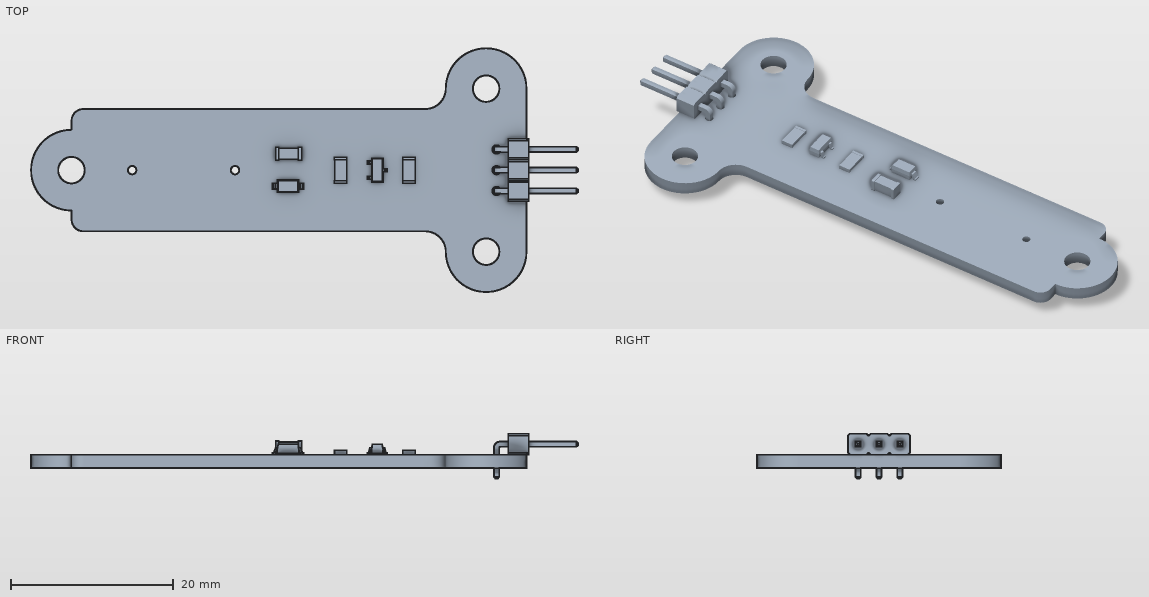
import cadquery as cq


board_thickness = 1.7
lug_radius = 5.0
lug_spacing_x = 51.0
lug_offset_y = 10.0
strip_width = 15.1
shoulder_radius = 1.5
mount_hole_diameter = 3.2
small_hole_diameter = 1.0
probe_hole_places = (7.5, 20.1)
half_strip = strip_width / 2
neck_radius = lug_offset_y - half_strip
neck_x = lug_spacing_x - lug_radius - neck_radius

pin_pitch = 2.55
pin_count = 3
pin_thickness = 0.7
pin_tail_x = 52.3
pin_tail_depth = 1.3
overall_length = 67.3
pin_end_x = overall_length - lug_radius
pin_tip_chamfer = 0.2
bend_outer_radius = 0.8
bend_inner_radius = bend_outer_radius - pin_thickness
header_center_x = 55.0
header_size = 2.55
header_chamfer = 0.235
pin_axis_z = header_size / 2
pin_places_y = [(index - (pin_count - 1) / 2) * pin_pitch for index in range(pin_count)]

chip_length = 3.2
resistor_width = 1.55
resistor_height = 0.55
resistor_terminal_length = 0.35
resistor_step = 0.035
resistor_rounding = 0.035
resistor_places = ((33.1, 0), (41.5, 0))
capacitor_width = 1.6
capacitor_height = 1.7
capacitor_terminal_length = 0.4
capacitor_step = 0.15
capacitor_rounding = 0.2
capacitor_place = (26.7, 2.0)

package_height = 1.3
parting_height = 0.75
package_clearance = 0.15
package_taper = 0.1
lead_thickness = 0.2
lead_foot = 0.35

diode_place = (26.65, -1.95)
diode_length = 2.6
diode_width = 1.55
diode_span = 3.85
diode_lead_width = 0.75

transistor_place = (37.6, 0)
transistor_length = 2.95
transistor_width = 1.4
transistor_span = 2.4
transistor_lead_width = 0.4
transistor_lead_spacing = 1.9


def block(size_x, size_y, size_z):
    """Box centred on the Z axis and standing on Z = 0."""
    return cq.Workplane("XY").box(size_x, size_y, size_z, centered=(True, True, False))


def disc(radius, x, y):
    """Round disc as thick as the board, for a lug or a through hole."""
    return cq.Workplane("XY").center(x, y).circle(radius).extrude(-board_thickness)


def make_board():
    neck_end_x = neck_x + neck_radius
    edge_x = lug_spacing_x + lug_radius
    outline = (
        cq.Workplane("XY")
        .moveTo(0, -half_strip)
        .lineTo(neck_x, -half_strip)
        .radiusArc((neck_end_x, -lug_offset_y), neck_radius)
        .lineTo(edge_x, -lug_offset_y)
        .lineTo(edge_x, lug_offset_y)
        .lineTo(neck_end_x, lug_offset_y)
        .radiusArc((neck_x, half_strip), neck_radius)
        .lineTo(0, half_strip)
        .close()
        .extrude(-board_thickness)
    )
    board = outline.edges("|Z and <X").fillet(shoulder_radius)

    mount_places = [(0, 0)] + [(lug_spacing_x, side * lug_offset_y) for side in (-1, 1)]
    for x, y in mount_places:
        board = board.union(disc(lug_radius, x, y))

    small_places = [(x, 0) for x in probe_hole_places] + [(pin_tail_x, y) for y in pin_places_y]
    for x, y in mount_places:
        board = board.cut(disc(mount_hole_diameter / 2, x, y))
    for x, y in small_places:
        board = board.cut(disc(small_hole_diameter / 2, x, y))
    return board


def make_pin():
    """Square pin in the XZ plane: a tail through the board, a bend and a long straight end."""
    outer_x = pin_tail_x - pin_thickness / 2
    inner_x = pin_tail_x + pin_thickness / 2
    top_z = pin_axis_z + pin_thickness / 2
    under_z = pin_axis_z - pin_thickness / 2
    pin = (
        cq.Workplane("XZ")
        .moveTo(outer_x, -board_thickness - pin_tail_depth)
        .lineTo(outer_x, top_z - bend_outer_radius)
        .radiusArc((outer_x + bend_outer_radius, top_z), bend_outer_radius)
        .lineTo(pin_end_x, top_z)
        .lineTo(pin_end_x, under_z)
        .lineTo(inner_x + bend_inner_radius, under_z)
        .radiusArc((inner_x, under_z - bend_inner_radius), -bend_inner_radius)
        .lineTo(inner_x, -board_thickness - pin_tail_depth)
        .close()
        .extrude(pin_thickness / 2, both=True)
    )
    return pin.faces("<Z or >X").chamfer(pin_tip_chamfer)


def make_header():
    """Row of chamfered housing segments with their pins, as one body."""
    segment = (
        block(header_size, pin_pitch, header_size)
        .edges("|X")
        .chamfer(header_chamfer)
        .translate((header_center_x, 0, 0))
        .union(make_pin())
    )
    header = segment.translate((0, pin_places_y[0], 0))
    for y in pin_places_y[1:]:
        header = header.union(segment.translate((0, y, 0)))
    return header


def make_chip(width, height, terminal_length, terminal_step, terminal_rounding):
    """Chip along X: a core with a slightly larger, rounded terminal around each end."""
    chip = block(
        chip_length - 2 * terminal_length,
        width - 2 * terminal_step,
        height - 2 * terminal_step,
    ).translate((0, 0, terminal_step))
    terminal_x = (chip_length - terminal_length) / 2
    terminal = block(terminal_length, width, height).edges("|X").fillet(terminal_rounding)
    for side in (-1, 1):
        chip = chip.union(terminal.translate((side * terminal_x, 0, 0)))
    return chip


def make_package_body(size_x, size_y):
    """Body with upright sides up to the parting line and drafted sides above it."""
    lower = (
        cq.Workplane("XY", origin=(0, 0, package_clearance))
        .rect(size_x, size_y)
        .extrude(parting_height - package_clearance)
    )
    upper = (
        cq.Workplane("XY", origin=(0, 0, parting_height))
        .rect(size_x, size_y)
        .workplane(offset=package_height - parting_height)
        .rect(size_x - 2 * package_taper, size_y - 2 * package_taper)
        .loft(ruled=True)
    )
    return lower.union(upper)


def make_lead(root_x, tip_x, width):
    """Lead along +X that leaves at the parting line, slopes down and ends in a flat foot."""
    half_thickness = lead_thickness / 2
    return (
        cq.Workplane("XZ")
        .moveTo(0, parting_height + half_thickness)
        .lineTo(root_x + lead_thickness, parting_height + half_thickness)
        .lineTo(tip_x - lead_foot + lead_thickness, lead_thickness)
        .lineTo(tip_x, lead_thickness)
        .lineTo(tip_x, 0)
        .lineTo(tip_x - lead_foot, 0)
        .lineTo(root_x, parting_height - half_thickness)
        .lineTo(0, parting_height - half_thickness)
        .close()
        .extrude(width / 2, both=True)
    )


def make_diode():
    lead = make_lead(diode_length / 2, diode_span / 2, diode_lead_width)
    body = make_package_body(diode_length, diode_width)
    return body.union(lead).union(lead.mirror("YZ"))


def make_transistor():
    """Three-lead package: one lead on the +X side and two on the -X side."""
    lead = make_lead(transistor_width / 2, transistor_span / 2, transistor_lead_width)
    transistor = make_package_body(transistor_width, transistor_length).union(lead)
    for side in (-1, 1):
        place_y = side * transistor_lead_spacing / 2
        transistor = transistor.union(lead.mirror("YZ").translate((0, place_y, 0)))
    return transistor


board = make_board()
header = make_header()
capacitor = make_chip(
    capacitor_width, capacitor_height, capacitor_terminal_length, capacitor_step, capacitor_rounding
).translate((*capacitor_place, 0))
resistor = make_chip(
    resistor_width, resistor_height, resistor_terminal_length, resistor_step, resistor_rounding
).rotate((0, 0, 0), (0, 0, 1), 90)
resistors = [resistor.translate((*place, 0)) for place in resistor_places]
diode = make_diode().translate((*diode_place, 0))
transistor = make_transistor().translate((*transistor_place, 0))

result = cq.Compound.makeCompound(
    [
        board.val(),
        header.val(),
        capacitor.val(),
        *[chip.val() for chip in resistors],
        diode.val(),
        transistor.val(),
    ]
)